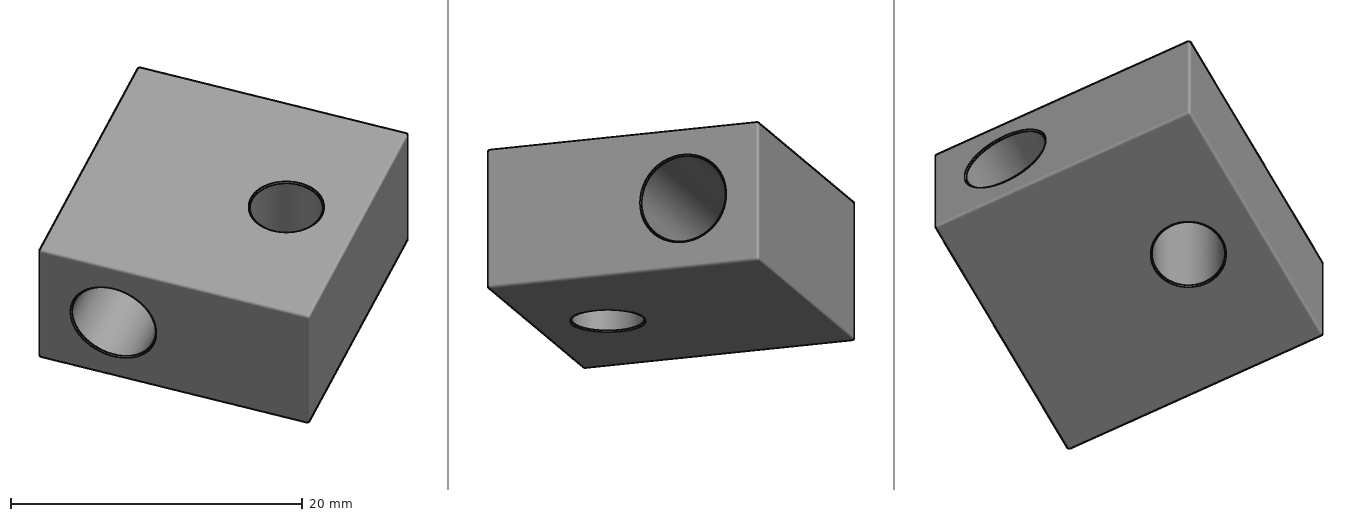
import cadquery as cq

length_x = 19.8
length_y = 20.0
height = 10.0
edge_break = 0.2

cross_hole_diameter = 6.1
cross_hole_x = 5.5
vertical_hole_diameter = 5.0
vertical_hole_x = 14.5
hole_chamfer = 0.1


def chamfered_bore(diameter, depth):
    """Cutter along +Z from the origin, widened by a chamfer at both ends."""
    radius = diameter / 2
    mouth_radius = radius + hole_chamfer
    return (
        cq.Workplane("XZ")
        .moveTo(0, 0)
        .lineTo(mouth_radius, 0)
        .lineTo(radius, hole_chamfer)
        .lineTo(radius, depth - hole_chamfer)
        .lineTo(mouth_radius, depth)
        .lineTo(0, depth)
        .close()
        .revolve(360, (0, 0, 0), (0, 1, 0))
    )


block = cq.Workplane("XY").box(length_x, length_y, height, centered=False)
block = block.edges().fillet(edge_break)

cross_hole = (
    chamfered_bore(cross_hole_diameter, length_y)
    .rotate((0, 0, 0), (1, 0, 0), -90)
    .translate((cross_hole_x, 0, height / 2))
)

vertical_hole = chamfered_bore(vertical_hole_diameter, height).translate(
    (vertical_hole_x, length_y / 2, 0)
)

result = block.cut(cross_hole).cut(vertical_hole)